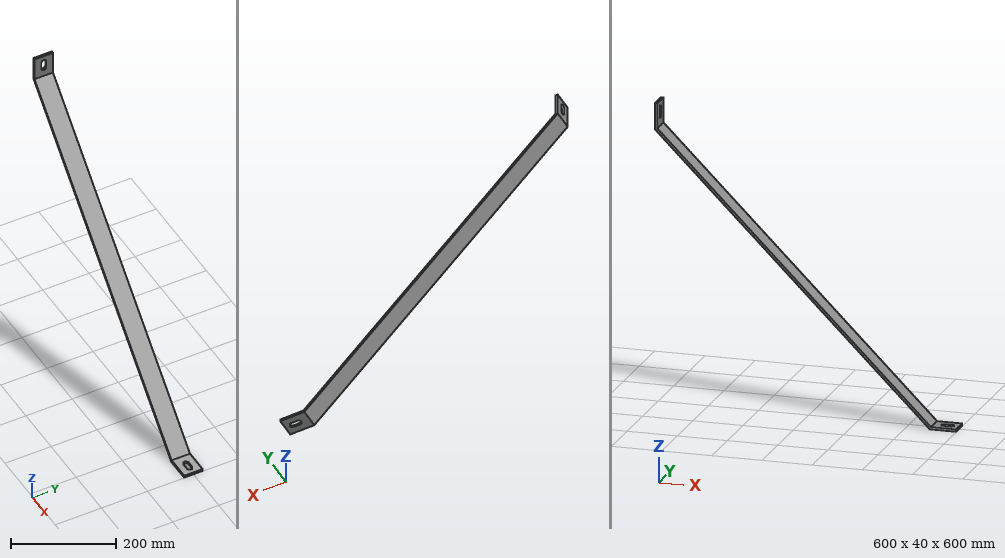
import cadquery as cq
import math

SPAN = 600.0
WIDTH = 40.0
THICKNESS = 5.0
INNER_FLANGE_LENGTH = 50.0
BEND_ANGLE = 45.0
SLOT_LENGTH = 25.0
SLOT_WIDTH = 11.0
SLOT_MARGIN = 10.0

mitre_offset = THICKNESS * math.tan(math.radians(BEND_ANGLE / 2))
inner_corner = SPAN - INNER_FLANGE_LENGTH
outer_corner = inner_corner - mitre_offset
slot_centre = SPAN - SLOT_MARGIN - SLOT_LENGTH / 2


def bent_strip():
    """Vertical flange, sloping brace and horizontal flange, centred on Y."""
    outline = [
        (0, SPAN),
        (0, outer_corner),
        (outer_corner, 0),
        (SPAN, 0),
        (SPAN, THICKNESS),
        (inner_corner, THICKNESS),
        (THICKNESS, inner_corner),
        (THICKNESS, SPAN),
    ]
    return cq.Workplane("XZ").polyline(outline).close().extrude(WIDTH / 2, both=True)


def slot_cutter(plane, centre, angle):
    """Slot prism running from the outer flange face through the thickness."""
    return (
        cq.Workplane(plane)
        .center(*centre)
        .slot2D(SLOT_LENGTH, SLOT_WIDTH, angle)
        .extrude(THICKNESS)
    )


horizontal_flange_slot = slot_cutter("XY", (slot_centre, 0), 0)
vertical_flange_slot = slot_cutter("YZ", (0, slot_centre), 90)

result = bent_strip().cut(horizontal_flange_slot).cut(vertical_flange_slot)